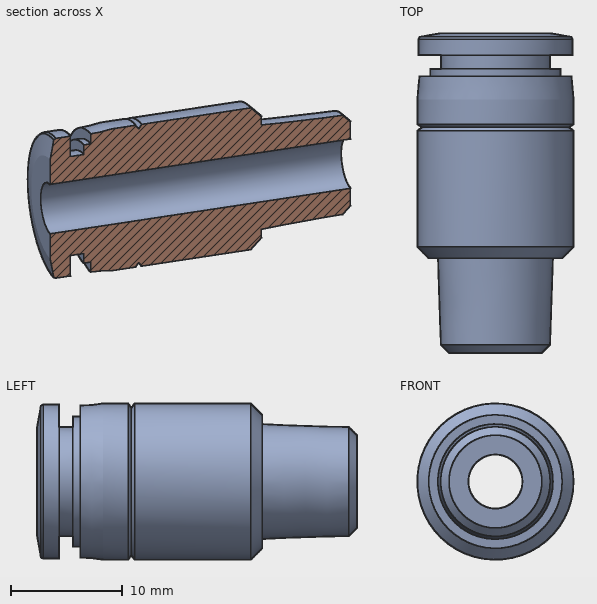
import cadquery as cq

length = 28.65
body_diameter = 14.0
body_radius = body_diameter / 2
bore_radius = 2.4

spigot_length = 8.48
spigot_root_radius = 5.15
spigot_end_radius = 4.9
spigot_chamfer = 0.75

body_chamfer = 1.03
groove_start = 19.9
groove_width = 0.57
groove_depth = 0.4
collar_taper_start = 22.72
collar_end = 24.78
collar_end_radius = 6.82

step_radius = 5.85
step_end = 25.45
neck_radius = 4.9
button_start = 26.67
button_radius = 6.9
button_rim_end = 28.1
button_edge_width = 0.11
button_edge_height = 0.2
button_face_radius = 4.87


def spigot_profile():
    return [
        (spigot_end_radius - spigot_chamfer, 0),
        (spigot_end_radius, spigot_chamfer),
        (spigot_root_radius, spigot_length),
    ]


def body_profile():
    groove_radius = body_radius - groove_depth
    groove_middle = groove_start + groove_width / 2
    return [
        (body_radius - body_chamfer, spigot_length),
        (body_radius, spigot_length + body_chamfer),
        (body_radius, groove_start),
        (groove_radius, groove_middle),
        (body_radius, groove_start + groove_width),
        (body_radius, collar_taper_start),
        (collar_end_radius, collar_end),
    ]


def button_profile():
    return [
        (step_radius, collar_end),
        (step_radius, step_end),
        (neck_radius, step_end),
        (neck_radius, button_start),
        (button_radius, button_start),
        (button_radius, button_rim_end),
        (button_radius - button_edge_width, button_rim_end + button_edge_height),
        (button_face_radius, length),
    ]


outline = [(bore_radius, 0)]
outline += spigot_profile() + body_profile() + button_profile()
outline += [(bore_radius, length)]

result = (
    cq.Workplane("XY")
    .polyline(outline)
    .close()
    .revolve(360, (0, 0, 0), (0, 1, 0))
)